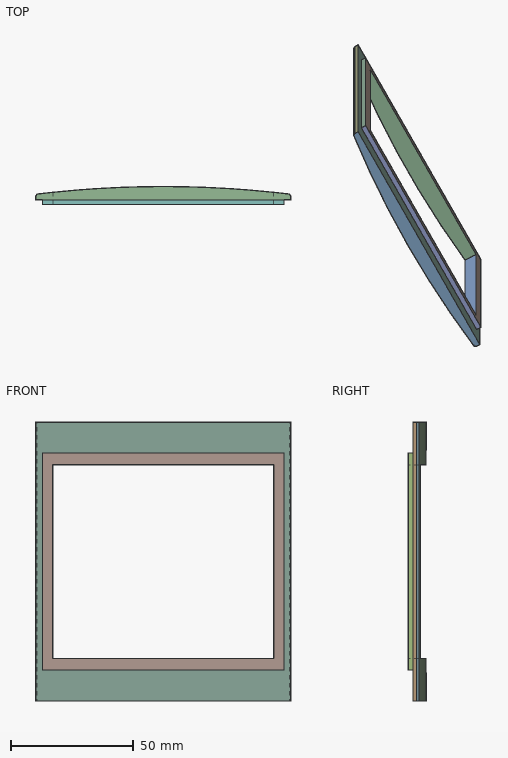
import cadquery as cq

plate_width = 104.5
plate_height = 114.3
crown_thickness = 5.5
side_thickness = 2.4

rim_width = 99.0
rim_height = 89.0
rim_depth = 2.0

window_width = 90.5
window_height = 79.3

bevel_width = 0.5
bevel_depth = 0.9


def domed_plate():
    """Constant section along Z: flat front, bevelled sides, arched back."""
    half_width = plate_width / 2
    arc_end = half_width - bevel_width
    bevel_start = side_thickness - bevel_depth
    section = (
        cq.Workplane("XY")
        .workplane(offset=-plate_height / 2)
        .moveTo(-half_width, 0)
        .lineTo(half_width, 0)
        .lineTo(half_width, bevel_start)
        .lineTo(arc_end, side_thickness)
        .threePointArc((0, crown_thickness), (-arc_end, side_thickness))
        .lineTo(-half_width, bevel_start)
        .close()
    )
    return section.extrude(plate_height)


def front_rim():
    """Rectangular block standing forward of the plate."""
    block = cq.Workplane("XY").box(rim_width, rim_depth, rim_height)
    return block.translate((0, -rim_depth / 2, 0))


def window():
    """Cutter that passes through the rim and the plate."""
    cutter_depth = 2 * (crown_thickness + rim_depth)
    return cq.Workplane("XY").box(window_width, cutter_depth, window_height)


result = domed_plate().union(front_rim()).cut(window())